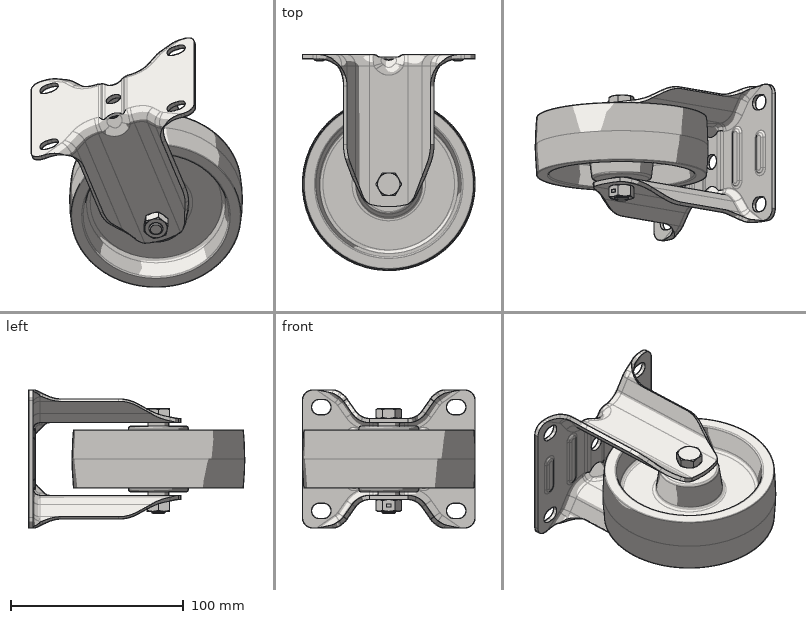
import cadquery as cq
import math

SHEET = 2.5
MATCH_TOLERANCE = 0.0001
CUT_DEPTH = 250.0

PLATE_LENGTH = 100.0
PLATE_WIDTH = 80.0
PLATE_BACK_Y = 75.0
PLATE_CORNER_RADIUS = 6.2
SLOT_PITCH_X = 78.0
SLOT_PITCH_Z = 60.0
SLOT_LENGTH = 11.1
SLOT_WIDTH = 8.7
CENTRE_HOLE_DIAMETER = 8.7

LEG_OUTER_Z = 23.5
LEG_FLAT_HALF_WIDTH = 11.0
WAVE_RADIUS = 10.0
WING_ANGLE = math.radians(55)
WING_EDGE_X = 24.1
FLARE_WAVE_RADIUS = 12.5
FLARE_WAVE_ANGLE = math.radians(35)
BEND_RADIUS = 6.6

FLARE_RADIUS = 18.1
FLARE_ARC_ANGLE = math.radians(80)
FLARE_START_Y = PLATE_BACK_Y - FLARE_RADIUS
TAPER_ANGLE = math.radians(21)
TAPER_RADIUS = 31.2
TAPER_END_X = 15.0
TAPER_END_Y = -6.6
TIP_CORNER_Y = -11.6
TIP_Y = -13.1

GUSSET_GROOVE_RADIUS = 6.2
GUSSET_FILLET = 6.4
GUSSET_REACH = 89.1
PANEL_HEIGHT = 1.4
PANEL_BASE_WIDTH = 17.5
PANEL_TOP_WIDTH = 10.0
PANEL_HALF_LENGTH = 17.5

BEAD_WIDTH = 7.1
BEAD_HEIGHT = 1.2
BEAD_SLOPE = 46.0
BEAD_FILLET = 2.1
BASE_EDGE_REACH = 0.2
BEADS = [(20.1, 35.0), (40.0, 25.0)]

WHEEL_RADIUS = 50.0
WHEEL_HALF_WIDTH = 16.9
TREAD_EDGE_RADIUS = 49.1
TREAD_FILLET = 0.4
RIM_MOUTH_RADIUS = 42.2
RIM_FLOOR_RADIUS = 39.9
RIM_MOUTH_FILLET = 0.9
WEB_HALF_THICKNESS = 2.7
WEB_FILLET = 2.1
HUB_TOP_RADIUS = 17.1
HUB_BASE_RADIUS = 19.4
HUB_HALF_LENGTH = 19.0
HUB_TOP_FILLET = 1.4

TUBE_RADIUS = 6.1
BOLT_RADIUS = 4.0
BOLT_END_Z = -31.5
BOLT_END_CHAMFER = 0.7
HEX_ACROSS_FLATS = 13.0
HEX_CHAMFER_RISE = 0.6
HEAD_HEIGHT = 5.6
NUT_HEIGHT = 6.7
CRIMP_LENGTH = 2.9
CRIMP_WIDTH = 1.7
CRIMP_DEPTH = 0.4
CRIMP_OFFSET = 3.4


def on_both_sides(half):
    """The +X half of a bracket feature together with its mirror image."""
    return half.union(half.mirror("YZ"))


def block_between_legs():
    """Solid whose wavy sides and +Y end are the outer faces of the sheet."""
    wave_centre_z = LEG_OUTER_Z + WAVE_RADIUS
    wave_mid = WING_ANGLE / 2
    wing_start_x = LEG_FLAT_HALF_WIDTH + WAVE_RADIUS * math.sin(WING_ANGLE)
    wing_start_z = wave_centre_z - WAVE_RADIUS * math.cos(WING_ANGLE)
    wing_edge_z = wing_start_z + (WING_EDGE_X - wing_start_x) * math.tan(WING_ANGLE)
    flare_centre_x = WING_EDGE_X + FLARE_WAVE_RADIUS * math.sin(WING_ANGLE)
    flare_centre_z = wing_edge_z - FLARE_WAVE_RADIUS * math.cos(WING_ANGLE)
    flare_mid = (WING_ANGLE + FLARE_WAVE_ANGLE) / 2

    def on_flare(angle):
        return (
            flare_centre_x - FLARE_WAVE_RADIUS * math.sin(angle),
            flare_centre_z + FLARE_WAVE_RADIUS * math.cos(angle),
        )

    flare_end_x, flare_end_z = on_flare(FLARE_WAVE_ANGLE)
    end_x = PLATE_LENGTH
    end_z = flare_end_z + (end_x - flare_end_x) * math.tan(FLARE_WAVE_ANGLE)
    quarter = (
        cq.Workplane("XZ", origin=(0, PLATE_BACK_Y, 0))
        .lineTo(0, LEG_OUTER_Z)
        .lineTo(LEG_FLAT_HALF_WIDTH, LEG_OUTER_Z)
        .threePointArc(
            (
                LEG_FLAT_HALF_WIDTH + WAVE_RADIUS * math.sin(wave_mid),
                wave_centre_z - WAVE_RADIUS * math.cos(wave_mid),
            ),
            (wing_start_x, wing_start_z),
        )
        .lineTo(WING_EDGE_X, wing_edge_z)
        .threePointArc(on_flare(flare_mid), (flare_end_x, flare_end_z))
        .lineTo(end_x, end_z)
        .lineTo(end_x, 0)
        .close()
        .extrude(PLATE_BACK_Y + WHEEL_RADIUS)
    )
    half = on_both_sides(quarter)
    block = half.union(half.mirror("XY")).clean()
    wavy_edges = block.faces(">Y").edges("not(<X or >X)")
    return wavy_edges.fillet(BEND_RADIUS)


def gusset_groove(side):
    """Cylinder laid at 45 degrees across a bend; side is +1 for the +Z leg, -1 for the other."""
    axis_reach = GUSSET_REACH + GUSSET_GROOVE_RADIUS * math.sqrt(2)
    length = 2 * LEG_OUTER_Z
    middle = cq.Vector(0, axis_reach - LEG_OUTER_Z, side * LEG_OUTER_Z)
    along = cq.Vector(0, 1, -side).normalized()
    start = middle - along * (length / 2)
    return cq.Workplane(cq.Solid.makeCylinder(GUSSET_GROOVE_RADIUS, length, start, along))


def with_gusset_grooves(block):
    """The block with a rounded groove across the middle of each bend."""
    for side in (1, -1):
        block = block.cut(gusset_groove(side))
        rim = [
            edge
            for edge in block.edges().vals()
            if abs(edge.Center().x) < GUSSET_GROOVE_RADIUS
            and edge.Center().y > 0
            and edge.Center().z * side > 0
        ]
        block = block.newObject(rim).fillet(GUSSET_FILLET)
    return block


def leg_outline():
    """Prism along Z that trims the legs: rounded tip, taper, straight sides and flare."""
    taper_start_x = WING_EDGE_X - TAPER_RADIUS * (1 - math.cos(TAPER_ANGLE))
    taper_start_y = TAPER_END_Y + (taper_start_x - TAPER_END_X) / math.tan(TAPER_ANGLE)
    side_start_y = taper_start_y + TAPER_RADIUS * math.sin(TAPER_ANGLE)
    clear_y = PLATE_BACK_Y + SHEET

    def on_flare(angle):
        return (
            WING_EDGE_X + FLARE_RADIUS * (1 - math.cos(angle)),
            FLARE_START_Y + FLARE_RADIUS * math.sin(angle),
        )

    flare_end_x, flare_end_y = on_flare(FLARE_ARC_ANGLE)

    half = (
        cq.Workplane("XY", origin=(0, 0, -CUT_DEPTH / 2))
        .moveTo(0, clear_y)
        .lineTo(PLATE_LENGTH, clear_y)
        .lineTo(PLATE_LENGTH, flare_end_y)
        .lineTo(flare_end_x, flare_end_y)
        .threePointArc(on_flare(FLARE_ARC_ANGLE / 2), on_flare(0))
        .lineTo(WING_EDGE_X, side_start_y)
        .tangentArcPoint((taper_start_x, taper_start_y), relative=False)
        .lineTo(TAPER_END_X, TAPER_END_Y)
        .tangentArcPoint((LEG_FLAT_HALF_WIDTH, TIP_CORNER_Y), relative=False)
        .lineTo(0, TIP_CORNER_Y)
        .close()
        .extrude(CUT_DEPTH)
    )
    tip = (
        cq.Workplane("XY", origin=(0, 0, -CUT_DEPTH / 2))
        .moveTo(-LEG_FLAT_HALF_WIDTH, TIP_CORNER_Y)
        .threePointArc((0, TIP_Y), (LEG_FLAT_HALF_WIDTH, TIP_CORNER_Y))
        .close()
        .extrude(CUT_DEPTH)
    )
    return on_both_sides(half).union(tip).clean()


def plate_outline():
    """Prism along Y with the plate's rounded outline, which also limits the flares."""
    return (
        cq.Workplane("XZ", origin=(0, CUT_DEPTH / 2, 0))
        .rect(PLATE_LENGTH, PLATE_WIDTH)
        .extrude(CUT_DEPTH)
        .edges("|Y")
        .fillet(PLATE_CORNER_RADIUS)
    )


def bent_sheet(block):
    """The block's outer faces, trimmed to the blank's outline and thickened inwards."""
    skin = cq.Shell.makeShell(block.faces("not(<X or >X or <Y)").vals())
    trimmed = skin.intersect(plate_outline().intersect(leg_outline()).val())
    skin = cq.Shell.makeShell(trimmed.Faces())
    return cq.Workplane(cq.occ_impl.shapes.offset(skin, -SHEET))


def s_profile_bar(surface_y, length):
    """Bar along Z rising towards -Y, with sides that are two tangent arcs."""
    crest_y = surface_y - PANEL_HEIGHT
    middle_x = (PANEL_TOP_WIDTH + PANEL_BASE_WIDTH) / 4
    half = (
        cq.Workplane("XY", origin=(0, 0, -length / 2))
        .moveTo(0, crest_y)
        .lineTo(PANEL_TOP_WIDTH / 2, crest_y)
        .tangentArcPoint((middle_x, (crest_y + surface_y) / 2), relative=False)
        .tangentArcPoint((PANEL_BASE_WIDTH / 2, surface_y), relative=False)
        .lineTo(0, surface_y)
        .close()
        .extrude(length)
    )
    return on_both_sides(half)


def with_panel(body):
    """A panel pressed towards the wheel: raised on the front, hollow on the back."""
    panel = s_profile_bar(PLATE_BACK_Y - SHEET, 2 * PANEL_HALF_LENGTH)
    channel = s_profile_bar(PLATE_BACK_Y, 2 * LEG_OUTER_Z)
    return body.union(panel).cut(channel)


def with_beads(body):
    """Four rounded beads standing on the wheel side of the plate."""
    plate_front_y = PLATE_BACK_Y - SHEET
    for distance, length in BEADS:
        for side in (1, -1):
            bead = (
                cq.Workplane("XZ", origin=(side * distance, plate_front_y, 0))
                .slot2D(length, BEAD_WIDTH, 90)
                .extrude(BEAD_HEIGHT, taper=BEAD_SLOPE)
                .faces("<Y")
                .edges()
                .fillet(BEAD_FILLET)
            )
            around_base = cq.selectors.BoxSelector(
                (side * distance - BEAD_WIDTH, plate_front_y - BASE_EDGE_REACH, -length),
                (side * distance + BEAD_WIDTH, plate_front_y + BASE_EDGE_REACH, length),
            )
            body = body.union(bead).edges(around_base).fillet(BEAD_FILLET)
    return body


def with_holes(body):
    mounting = (
        cq.Workplane("XZ", origin=(0, PLATE_BACK_Y, 0))
        .rect(SLOT_PITCH_X, SLOT_PITCH_Z, forConstruction=True)
        .vertices()
        .slot2D(SLOT_LENGTH, SLOT_WIDTH)
        .extrude(SHEET)
    )
    centre = (
        cq.Workplane("XZ", origin=(0, PLATE_BACK_Y, 0))
        .circle(CENTRE_HOLE_DIAMETER / 2)
        .extrude(SHEET + PANEL_HEIGHT)
    )
    bolt_holes = cq.Workplane("XY").circle(BOLT_RADIUS).extrude(LEG_OUTER_Z, both=True)
    return body.cut(mounting).cut(centre).cut(bolt_holes)


def make_bracket():
    block = with_gusset_grooves(block_between_legs())
    sheet = bent_sheet(block)
    return with_holes(with_panel(with_beads(sheet)))


def ring_at(solid, radius, z):
    """The circular edge of a turned solid with this radius at this height."""
    edges = [
        edge
        for edge in solid.edges("%CIRCLE").vals()
        if math.isclose(edge.radius(), radius, abs_tol=MATCH_TOLERANCE)
        and math.isclose(edge.Center().z, z, abs_tol=MATCH_TOLERANCE)
    ]
    return solid.newObject(edges)


def make_wheel():
    """Wheel turned about Z: crowned tread, recessed web, tapered hub, bore for the axle tube."""
    crown_drop = WHEEL_RADIUS - TREAD_EDGE_RADIUS
    crown_radius = (WHEEL_HALF_WIDTH**2 + crown_drop**2) / (2 * crown_drop)
    quarter_z = WHEEL_HALF_WIDTH / 2
    quarter_radius = WHEEL_RADIUS - crown_radius + math.sqrt(crown_radius**2 - quarter_z**2)
    lower_crown = (quarter_radius, -quarter_z)
    upper_crown = (quarter_radius, quarter_z)
    wheel = (
        cq.Workplane("XZ")
        .moveTo(TUBE_RADIUS, -HUB_HALF_LENGTH)
        .lineTo(HUB_TOP_RADIUS, -HUB_HALF_LENGTH)
        .lineTo(HUB_BASE_RADIUS, -WEB_HALF_THICKNESS)
        .lineTo(RIM_FLOOR_RADIUS, -WEB_HALF_THICKNESS)
        .lineTo(RIM_MOUTH_RADIUS, -WHEEL_HALF_WIDTH)
        .lineTo(TREAD_EDGE_RADIUS, -WHEEL_HALF_WIDTH)
        .threePointArc(lower_crown, (WHEEL_RADIUS, 0))
        .threePointArc(upper_crown, (TREAD_EDGE_RADIUS, WHEEL_HALF_WIDTH))
        .lineTo(RIM_MOUTH_RADIUS, WHEEL_HALF_WIDTH)
        .lineTo(RIM_FLOOR_RADIUS, WEB_HALF_THICKNESS)
        .lineTo(HUB_BASE_RADIUS, WEB_HALF_THICKNESS)
        .lineTo(HUB_TOP_RADIUS, HUB_HALF_LENGTH)
        .lineTo(TUBE_RADIUS, HUB_HALF_LENGTH)
        .close()
        .revolve(360, (0, 0, 0), (0, 1, 0))
    )
    rounded_rings = [
        (HUB_TOP_RADIUS, HUB_HALF_LENGTH, HUB_TOP_FILLET),
        (HUB_BASE_RADIUS, WEB_HALF_THICKNESS, WEB_FILLET),
        (RIM_FLOOR_RADIUS, WEB_HALF_THICKNESS, WEB_FILLET),
        (RIM_MOUTH_RADIUS, WHEEL_HALF_WIDTH, RIM_MOUTH_FILLET),
        (TREAD_EDGE_RADIUS, WHEEL_HALF_WIDTH, TREAD_FILLET),
    ]
    for radius, z, fillet in rounded_rings:
        for side in (1, -1):
            wheel = ring_at(wheel, radius, side * z).fillet(fillet)
    return wheel


def make_axle_tube():
    length = LEG_OUTER_Z - SHEET
    return cq.Workplane("XY").circle(TUBE_RADIUS).circle(BOLT_RADIUS).extrude(length, both=True)


def hexagon(base_z, height):
    """Hexagonal prism along Z, corners on X, with both ends turned to a chamfer."""
    across_corners = HEX_ACROSS_FLATS / math.cos(math.pi / 6)
    prism = cq.Workplane("XY", origin=(0, 0, base_z)).polygon(6, across_corners).extrude(height)
    chamfer_run = (across_corners - HEX_ACROSS_FLATS) / 2
    turned = (
        cq.Workplane("XY", origin=(0, 0, base_z))
        .circle(across_corners / 2)
        .extrude(height)
        .faces("<Z or >Z")
        .edges()
        .chamfer(HEX_CHAMFER_RISE, chamfer_run)
    )
    return prism.intersect(turned)


def make_bolt():
    shank = (
        cq.Workplane("XY", origin=(0, 0, BOLT_END_Z))
        .circle(BOLT_RADIUS)
        .extrude(LEG_OUTER_Z - BOLT_END_Z)
        .faces("<Z")
        .chamfer(BOLT_END_CHAMFER)
    )
    return shank.union(hexagon(LEG_OUTER_Z, HEAD_HEIGHT))


def make_nut():
    """Lock nut with a crimp mark on the flat facing -Y."""
    bore = cq.Workplane("XY").circle(BOLT_RADIUS).extrude(-CUT_DEPTH)
    crimp = cq.Workplane("XY").box(CRIMP_LENGTH, 2 * CRIMP_DEPTH, CRIMP_WIDTH)
    crimp = crimp.translate((0, -HEX_ACROSS_FLATS / 2, -LEG_OUTER_Z - CRIMP_OFFSET))
    return hexagon(-LEG_OUTER_Z - NUT_HEIGHT, NUT_HEIGHT).cut(bore).cut(crimp)


bracket = make_bracket().solids()
wheel = make_wheel().solids()
axle_tube = make_axle_tube().solids()
bolt = make_bolt().solids()
nut = make_nut().solids()

result = cq.Compound.makeCompound(
    [bracket.val(), wheel.val(), axle_tube.val(), bolt.val(), nut.val()]
)